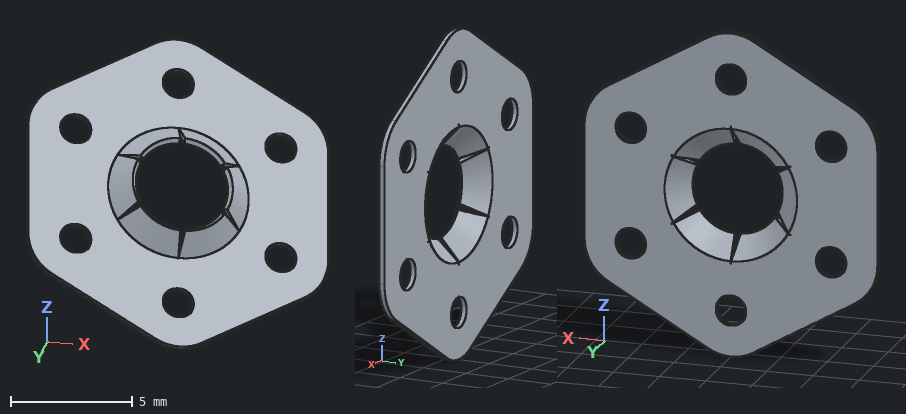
import cadquery as cq
import math

width_across_flats = 12.65
corner_radius = 2.0
sheet_thickness = 0.25

corner_count = 6
hole_diameter = 1.3
hole_circle_radius = 5.0

overall_depth = 1.1
collar_tip_radius = 2.11

slit_mouth_width = 0.24

collar_height = overall_depth - sheet_thickness
collar_root_radius = collar_tip_radius + collar_height
tip_step = sheet_thickness / math.sqrt(2)
bore_radius = collar_tip_radius - tip_step
bore_depth = overall_depth - tip_step
back_opening_radius = bore_radius + bore_depth


def make_plate():
    across_corners = width_across_flats / math.cos(math.pi / corner_count)
    return (
        cq.Workplane("XZ")
        .polygon(corner_count, across_corners)
        .extrude(sheet_thickness)
        .rotate((0, 0, 0), (0, 1, 0), 90)
        .edges("|Y")
        .fillet(corner_radius)
    )


def revolve_about_y(profile):
    """Revolve (radius, y) points around the Y axis."""
    return cq.Workplane("XY").polyline(profile).close().revolve(360, (0, 0, 0), (0, 1, 0))


def make_collar_outside():
    return revolve_about_y([
        (0, 0),
        (collar_root_radius, 0),
        (collar_root_radius, -sheet_thickness),
        (collar_tip_radius, -overall_depth),
        (0, -overall_depth),
    ])


def make_collar_opening():
    return revolve_about_y([
        (0, 0),
        (back_opening_radius, 0),
        (bore_radius, -bore_depth),
        (collar_tip_radius, -overall_depth),
        (0, -overall_depth),
    ])


def make_holes():
    return (
        cq.Workplane("XZ")
        .polarArray(hole_circle_radius, 90, 360, corner_count)
        .circle(hole_diameter / 2)
        .extrude(sheet_thickness)
    )


def make_slit(angle):
    """Wedge with its point at the collar root, opening towards the bore."""
    return (
        cq.Workplane("XZ")
        .polyline([
            (collar_root_radius, 0),
            (bore_radius, slit_mouth_width / 2),
            (0, 0),
            (bore_radius, -slit_mouth_width / 2),
        ])
        .close()
        .extrude(overall_depth)
        .rotate((0, 0, 0), (0, 1, 0), angle)
    )


result = make_plate().union(make_collar_outside())
result = result.cut(make_collar_opening()).cut(make_holes())
for index in range(corner_count):
    slit_angle = 90 + index * 360 / corner_count
    result = result.cut(make_slit(slit_angle))